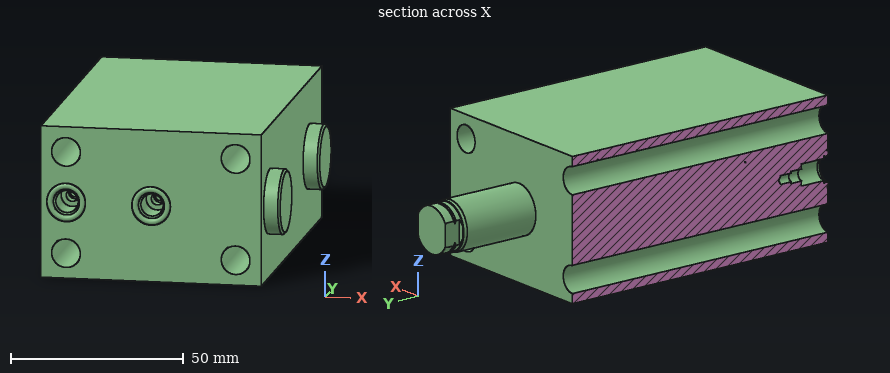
import cadquery as cq
import math

overall_length = 126.3

block_width = 65.0
block_length = 94.0
block_height = 45.0
center_x = block_width / 2

bolt_hole_diameter = 8.5
bolt_inset_x = 7.5
bolt_spacing_x = 50.0
bolt_spacing_z = 30.0

port_xs = (bolt_inset_x, center_x)
seal_seat_radius = 5.7
seal_center_radius = 4.8
seal_tube_radius = 0.95
seal_protrusion = 0.3
seal_center_depth = seal_tube_radius - seal_protrusion
seal_floor_depth = 1.5
port_bore_radius = 3.3
port_bore_depth = 8.2
drill_entry_radius = 1.8
drill_entry_depth = 3.8
drill_radius = 1.3
drill_depth = 3.8
drill_tip_angle = 118

plug_ys = (13.0, 74.0)
plug_diameter = 19.1
plug_height = 4.8
plug_chamfer = 0.6

connector_length = overall_length - seal_protrusion - block_length
barrel_diameter = 15.8
barrel_radius = barrel_diameter / 2
cap_radius = 7.5
cap_length = 5.8
shoulder_length = 1.1
shoulder_radius = 7.7
shoulder_break = 0.1
shoulder_break_length = 0.4
cap_rim_length = 0.8
cap_rim_step = 0.1
groove_start = 3.2
groove_width = 0.8
groove_depth = 0.4

flat_half_width = 6.5
flat_length = 5.0


def revolve_about_y(points):
    return cq.Workplane("XY").polyline(points).close().revolve(360, (0, 0, 0), (0, 1, 0))


def make_block():
    bolt_center_x = bolt_inset_x + bolt_spacing_x / 2
    block = cq.Workplane("XY").box(
        block_width, block_length, block_height, centered=(False, False, True)
    )
    bolt_holes = (
        cq.Workplane("XZ")
        .center(bolt_center_x, 0)
        .rect(bolt_spacing_x, bolt_spacing_z, forConstruction=True)
        .vertices()
        .circle(bolt_hole_diameter / 2)
        .extrude(-block_length)
    )
    return block.cut(bolt_holes)


def make_port_cavity(x):
    """Seal seat, bore and stepped drilling, revolved about the port axis."""
    bore_floor = seal_floor_depth + port_bore_depth
    step_y = bore_floor + drill_entry_depth
    drill_end = step_y + drill_depth
    tip_y = drill_end + drill_radius / math.tan(math.radians(drill_tip_angle / 2))
    cavity = revolve_about_y([
        (0, 0),
        (seal_seat_radius, 0),
        (seal_seat_radius, seal_center_depth),
        (seal_center_radius, seal_center_depth),
        (seal_center_radius, seal_floor_depth),
        (port_bore_radius, seal_floor_depth),
        (port_bore_radius, bore_floor),
        (drill_entry_radius, bore_floor),
        (drill_entry_radius, step_y),
        (drill_radius, step_y),
        (drill_radius, drill_end),
        (0, tip_y),
    ])
    return cavity.translate((x, 0, 0))


def make_seal_ring(x):
    """Round-section ring, its outer and lower sides sunk into the seat."""
    return (
        cq.Workplane("XY")
        .center(seal_center_radius, seal_center_depth)
        .circle(seal_tube_radius)
        .revolve(360, (-seal_center_radius, 0, 0), (-seal_center_radius, 1, 0))
        .translate((x, 0, 0))
    )


def make_plug(y):
    return (
        cq.Workplane("YZ", origin=(block_width, y, 0))
        .circle(plug_diameter / 2)
        .extrude(plug_height)
        .faces(">X")
        .chamfer(plug_chamfer)
    )


def make_barrel():
    """Plain cylinder whose end edge is eased by two shallow cones."""
    end = connector_length - cap_length
    shoulder_start = end - shoulder_length
    return revolve_about_y([
        (0, 0),
        (barrel_radius, 0),
        (barrel_radius, shoulder_start),
        (barrel_radius - shoulder_break, shoulder_start + shoulder_break_length),
        (shoulder_radius, end),
        (0, end),
    ])


def make_cap():
    """Grooved cylinder with two opposite wrench flats."""
    end = connector_length
    start = end - cap_length
    groove_end = groove_start + groove_width
    groove_middle = groove_start + groove_width / 2
    cap = revolve_about_y([
        (0, start),
        (cap_radius, start),
        (cap_radius, end - groove_end),
        (cap_radius - groove_depth, end - groove_middle),
        (cap_radius, end - groove_start),
        (cap_radius, end - cap_rim_length),
        (cap_radius - cap_rim_step, end),
        (0, end),
    ])
    runout = cap_radius - flat_half_width
    flat_start = end - flat_length
    flat_cut = (
        cq.Workplane("XY")
        .polyline([
            (flat_half_width, end),
            (flat_half_width, flat_start),
            (cap_radius, flat_start - runout),
            (cap_radius, end),
        ])
        .close()
        .extrude(cap_radius, both=True)
    )
    return cap.cut(flat_cut).cut(flat_cut.mirror("YZ"))


result = make_block()
for port_x in port_xs:
    result = result.cut(make_port_cavity(port_x)).union(make_seal_ring(port_x))
for plug_y in plug_ys:
    result = result.union(make_plug(plug_y))
connector = make_barrel().union(make_cap())
result = result.union(connector.translate((center_x, block_length, 0)))